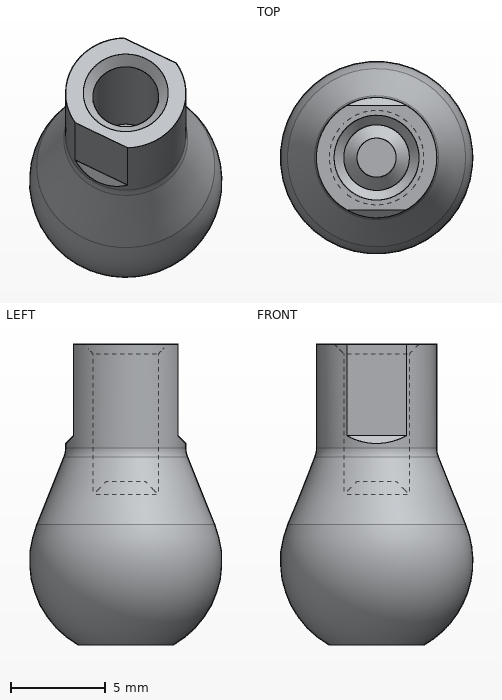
import cadquery as cq
import math

height = 15.88
ball_radius = 5.08
base_radius = 2.5
cone_start_z = 6.37
stem_radius = 3.18
stem_start_z = 10.4
neck_fillet_radius = 1.27
flat_distance = 2.76
flat_bottom_z = 11.05
bore_radius = 1.73
bore_chamfer = 0.51
bore_depth = 7.94
floor_radius = 1.03

ball_center_z = math.sqrt(ball_radius**2 - base_radius**2)
cone_start_radius = math.sqrt(ball_radius**2 - (cone_start_z - ball_center_z)**2)

fillet_center_r = stem_radius + neck_fillet_radius
center_dr = fillet_center_r - cone_start_radius
center_dz = stem_start_z - cone_start_z
center_distance = math.hypot(center_dr, center_dz)
taper_angle = math.asin(neck_fillet_radius / center_distance) - math.atan2(center_dr, center_dz)


def fillet_point(angle):
    """Point on the neck fillet, the angle measured down from the stem start."""
    return (
        fillet_center_r - neck_fillet_radius * math.cos(angle),
        stem_start_z - neck_fillet_radius * math.sin(angle),
    )


def make_body():
    """Ball, tapered neck and stem as one revolved outline."""
    return (
        cq.Workplane("XZ")
        .moveTo(0, 0)
        .lineTo(base_radius, 0)
        .threePointArc((ball_radius, ball_center_z), (cone_start_radius, cone_start_z))
        .lineTo(*fillet_point(taper_angle))
        .threePointArc(fillet_point(taper_angle / 2), (stem_radius, stem_start_z))
        .lineTo(stem_radius, height)
        .lineTo(0, height)
        .close()
        .revolve(360, (0, 0, 0), (0, 1, 0))
    )


def make_flat_cutter(side):
    """Material outside one wrench flat, ending in a 45 degree run-out; side is +1 or -1."""
    outer = ball_radius
    run_out = outer - flat_distance
    return (
        cq.Workplane("YZ")
        .moveTo(side * flat_distance, height)
        .lineTo(side * flat_distance, flat_bottom_z)
        .lineTo(side * outer, flat_bottom_z - run_out)
        .lineTo(side * outer, height)
        .close()
        .extrude(stem_radius, both=True)
    )


def make_bore():
    """Blind bore with a chamfered mouth and a raised floor, a 45 degree cone cut off flat."""
    rim_z = height - bore_depth
    floor_top_z = rim_z + bore_radius - floor_radius
    return (
        cq.Workplane("XZ")
        .moveTo(0, floor_top_z)
        .lineTo(floor_radius, floor_top_z)
        .lineTo(bore_radius, rim_z)
        .lineTo(bore_radius, height - bore_chamfer)
        .lineTo(bore_radius + bore_chamfer, height)
        .lineTo(0, height)
        .close()
        .revolve(360, (0, 0, 0), (0, 1, 0))
    )


result = make_body().cut(make_bore())
for side in (1, -1):
    result = result.cut(make_flat_cutter(side))